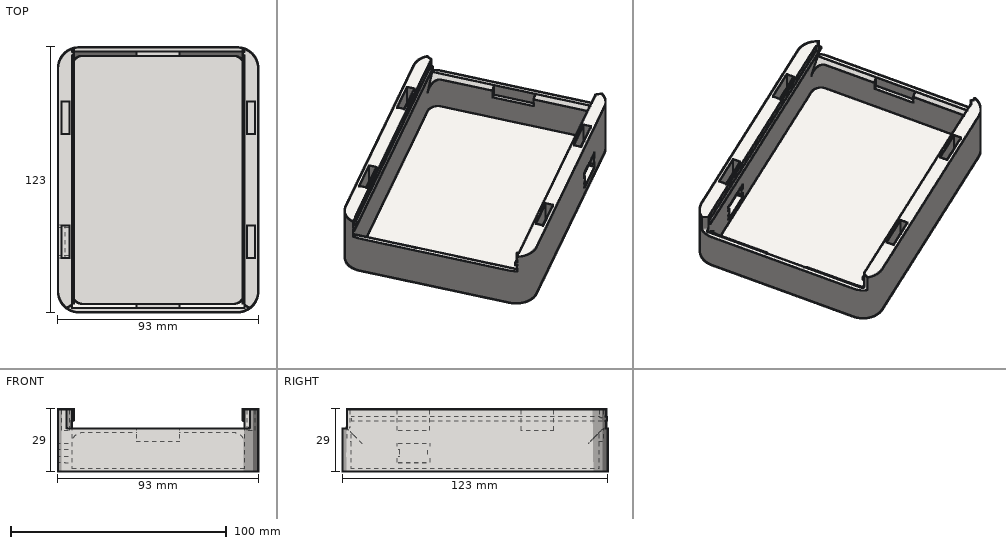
import cadquery as cq
import math

width = 93.0
length = 123.0
height = 29.0
corner_radius = 10.0

cavity_width = 80.0
end_wall = 4.0
cavity_length = length - 2 * end_wall
cavity_corner_radius = 5.0
floor_thickness = 1.5

rim_height = 20.0
flare_start_y = -58.0
flare_angle = 30.0
flare_width = 8.0
flare_fillet = 0.8

rail_radius = 1.0
rail_z = 24.5
detent_radius = 0.9
detent_y = 58.5

rim_width = 2.1
rim_slope_angle = 45.0
slope_run = end_wall - rim_width + cavity_corner_radius
notch_width = 20.0
notch_floor_z = 14.0

slot_width = 3.6
slot_length = 15.0
slot_depth = 10.0
slot_x = 43.0
slot_y = 28.75

socket_y = -28.6
socket_length = 15.4
socket_bottom_z = 4.3
socket_height = 8.7
tab_length = 1.2
tab_height = 3.4
socket_floor_step = 0.2


def rounded_block(size_x, size_y, size_z, radius, bottom_z):
    block = cq.Workplane("XY").workplane(offset=bottom_z).rect(size_x, size_y).extrude(size_z)
    return block.edges("|Z").fillet(radius)


def box_from_bottom(size_x, size_y, size_z, bottom_center):
    block = cq.Workplane("XY").box(size_x, size_y, size_z, centered=(True, True, False))
    return block.translate(bottom_center)


def lid_channel():
    """Space above the rim between the long walls; the foot of each flared face is filleted."""
    half = cavity_width / 2
    flare_end_y = flare_start_y - flare_width * math.tan(math.radians(flare_angle))
    outline = [
        (-half, length),
        (half, length),
        (half, flare_start_y),
        (half + flare_width, flare_end_y),
        (-half - flare_width, flare_end_y),
        (-half, flare_start_y),
    ]
    channel = cq.Workplane("XY").workplane(offset=rim_height).polyline(outline).close()
    channel = channel.extrude(height - rim_height)
    flare_mid_x = half + flare_width / 2
    flare_mid_y = (flare_start_y + flare_end_y) / 2
    for side in (-1, 1):
        foot = cq.selectors.NearestToPointSelector((side * flare_mid_x, flare_mid_y, rim_height))
        channel = channel.edges(foot).fillet(flare_fillet)
    return channel


def lid_retention(side):
    """Rail and rear detent that stand proud of the channel wall."""
    wall_x = side * cavity_width / 2
    rail_start_y = flare_start_y + rail_radius * math.tan(math.radians(flare_angle))
    rail = cq.Workplane("XZ", origin=(0, rail_start_y, 0)).center(wall_x, rail_z)
    rail = rail.circle(rail_radius).extrude(-length)
    detent = cq.Workplane("XY").workplane(offset=rail_z).center(wall_x, detent_y)
    return rail.union(detent.circle(detent_radius).extrude(height - rail_z))


def rim_slope(end):
    """Wedge above the sloped inner edge of an end wall."""
    rim_y = length / 2 - rim_width
    inner_y = rim_y - slope_run
    low_z = rim_height - slope_run * math.tan(math.radians(rim_slope_angle))
    wedge = cq.Workplane("YZ").polyline([
        (end * rim_y, rim_height),
        (end * inner_y, rim_height),
        (end * inner_y, low_z),
    ]).close()
    return wedge.extrude(cavity_width / 2, both=True)


def finger_notch(end):
    depth = end_wall - rim_width
    center_y = end * (cavity_length + depth) / 2
    return box_from_bottom(notch_width, depth, height - notch_floor_z, (0, center_y, notch_floor_z))


def top_slots():
    slots = cq.Workplane("XY").workplane(offset=height - slot_depth)
    slots = slots.rect(2 * slot_x, 2 * slot_y, forConstruction=True).vertices()
    return slots.rect(slot_width, slot_length).extrude(slot_depth)


def socket_opening():
    """Opening through the wall; its floor steps down slightly over the inner half of the wall."""
    wall = (width - cavity_width) / 2
    wall_x = -(cavity_width + wall) / 2
    opening = box_from_bottom(wall, socket_length, socket_height, (wall_x, socket_y, socket_bottom_z))
    tab_z = socket_bottom_z + (socket_height - tab_height) / 2
    for side in (-1, 1):
        tab_y = socket_y + side * (socket_length - tab_length) / 2
        opening = opening.cut(box_from_bottom(wall, tab_length, tab_height, (wall_x, tab_y, tab_z)))
    step_bottom = (-(cavity_width + wall / 2) / 2, socket_y, socket_bottom_z - socket_floor_step)
    return opening.union(box_from_bottom(wall / 2, socket_length, socket_floor_step, step_bottom))


body = rounded_block(width, length, height, corner_radius, 0)
lid_space = lid_channel()
for side in (-1, 1):
    lid_space = lid_space.cut(lid_retention(side))

cavity_depth = rim_height - floor_thickness
cavity = rounded_block(cavity_width, cavity_length, cavity_depth, cavity_corner_radius, floor_thickness)

result = body.cut(cavity).cut(lid_space)
for end in (-1, 1):
    result = result.cut(rim_slope(end))
    result = result.cut(finger_notch(end))
result = result.cut(top_slots())
result = result.cut(socket_opening())